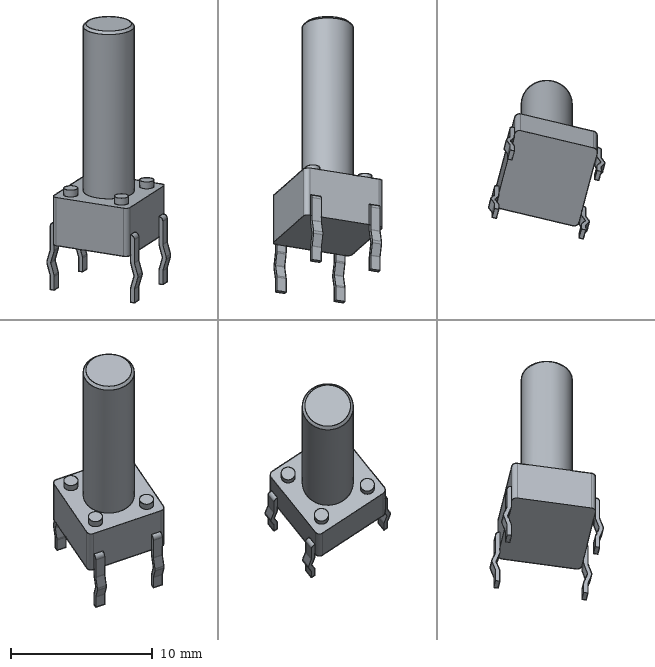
import cadquery as cq
import math


total_height = 19.5
housing_width = 6.0
housing_height = 3.59
corner_radius = 0.35

plunger_diameter = 3.6
plunger_chamfer = 0.2

rivet_diameter = 1.0
rivet_height = 0.5
rivet_pitch = 4.0

span_over_kinks = 7.18
leg_thickness = 0.31
leg_width = 0.7
leg_pitch = 4.5
leg_top = 1.55
leg_bottom = -3.5
kink_z = -1.48
bend_angle = math.radians(16.5)
inside_bend_radius = 0.05
outside_bend_radius = inside_bend_radius + leg_thickness
plunger_top = total_height + leg_bottom


def make_housing():
    housing = cq.Workplane("XY").rect(housing_width, housing_width).extrude(housing_height)
    return housing.edges("|Z").fillet(corner_radius)


def make_plunger():
    plunger = cq.Workplane("XY").workplane(offset=housing_height)
    plunger = plunger.circle(plunger_diameter / 2).extrude(plunger_top - housing_height)
    return plunger.faces(">Z").chamfer(plunger_chamfer)


def make_rivets():
    rivets = cq.Workplane("XY").workplane(offset=housing_height)
    rivets = rivets.rect(rivet_pitch, rivet_pitch, forConstruction=True).vertices()
    return rivets.circle(rivet_diameter / 2).extrude(rivet_height)


def make_right_leg(y_center):
    """Leg on the +X side: a bent strip of constant thickness with a rounded top."""
    inner_x = housing_width / 2
    outer_x = inner_x + leg_thickness

    corner_loss = 1 / math.cos(bend_angle) - 1
    kink_inner_x = span_over_kinks / 2 - leg_thickness + inside_bend_radius * corner_loss
    kink_outer_x = span_over_kinks / 2 + outside_bend_radius * corner_loss
    half_kink = (kink_inner_x - inner_x) / math.tan(bend_angle)
    half_kink_outside = (kink_outer_x - outer_x) / math.tan(bend_angle)

    strip = (
        cq.Workplane("XZ", origin=(0, y_center + leg_width / 2, 0))
        .moveTo(inner_x, leg_top)
        .radiusArc((outer_x, leg_top - leg_thickness), leg_thickness)
        .lineTo(outer_x, kink_z + half_kink_outside)
        .lineTo(kink_outer_x, kink_z)
        .lineTo(outer_x, kink_z - half_kink_outside)
        .lineTo(outer_x, leg_bottom)
        .lineTo(inner_x, leg_bottom)
        .lineTo(inner_x, kink_z - half_kink)
        .lineTo(kink_inner_x, kink_z)
        .lineTo(inner_x, kink_z + half_kink)
        .close()
        .extrude(leg_width)
    )

    outside_corners = [
        (kink_outer_x, kink_z),
        (inner_x, kink_z + half_kink),
        (inner_x, kink_z - half_kink),
    ]
    inside_corners = [
        (kink_inner_x, kink_z),
        (outer_x, kink_z + half_kink_outside),
        (outer_x, kink_z - half_kink_outside),
    ]
    for x, z in outside_corners:
        corner = cq.selectors.NearestToPointSelector((x, y_center, z))
        strip = strip.edges("|Y").edges(corner).fillet(outside_bend_radius)
    for x, z in inside_corners:
        corner = cq.selectors.NearestToPointSelector((x, y_center, z))
        strip = strip.edges("|Y").edges(corner).fillet(inside_bend_radius)
    return strip


result = make_housing().union(make_plunger()).union(make_rivets())
for y_center in (-leg_pitch / 2, leg_pitch / 2):
    leg = make_right_leg(y_center)
    result = result.union(leg).union(leg.mirror("YZ"))